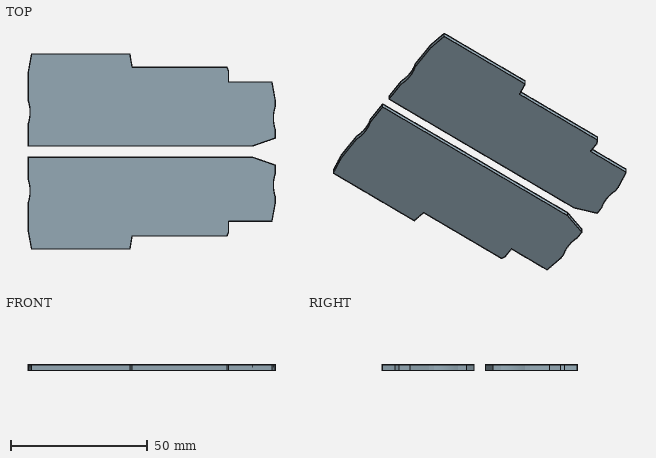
import cadquery as cq

LENGTH = 90.8
TOTAL_WIDTH = 71.6
THICKNESS = 2.2
GAP = 4.1
PLATE_WIDTH = (TOTAL_WIDTH - GAP) / 2

WIDE_END = 37.4
FIRST_STEP_DEPTH = 4.8
FIRST_STEP_RUN = 0.8
MIDDLE_END = 73.6
SECOND_STEP_DEPTH = 5.45
MIDDLE_CHAMFER_RUN = 0.6
MIDDLE_CHAMFER_DROP = 1.45

TAPER_RUN = 1.3
TAPER_DROP = 7.0

NOTCH_WIDTH = 8.9
NOTCH_DEPTH = 0.7
REAR_NOTCH_CENTER = 12.4
TIP_NOTCH_CENTER = 10.3

TIP_CUT_RUN = 8.35
TIP_CUT_RISE = 2.9

MIDDLE_WIDTH = PLATE_WIDTH - FIRST_STEP_DEPTH
TIP_WIDTH = MIDDLE_WIDTH - SECOND_STEP_DEPTH


def plate_blank():
    """Plate with its inner edge on the X axis and its rear end at X = 0."""
    half_notch = NOTCH_WIDTH / 2
    return (
        cq.Workplane("XY")
        .moveTo(0, 0)
        .lineTo(LENGTH - TIP_CUT_RUN, 0)
        .lineTo(LENGTH, TIP_CUT_RISE)
        .lineTo(LENGTH, TIP_NOTCH_CENTER - half_notch)
        .threePointArc(
            (LENGTH - NOTCH_DEPTH, TIP_NOTCH_CENTER),
            (LENGTH, TIP_NOTCH_CENTER + half_notch),
        )
        .lineTo(LENGTH, TIP_WIDTH - TAPER_DROP)
        .lineTo(LENGTH - TAPER_RUN, TIP_WIDTH)
        .lineTo(MIDDLE_END, TIP_WIDTH)
        .lineTo(MIDDLE_END, MIDDLE_WIDTH - MIDDLE_CHAMFER_DROP)
        .lineTo(MIDDLE_END - MIDDLE_CHAMFER_RUN, MIDDLE_WIDTH)
        .lineTo(WIDE_END + FIRST_STEP_RUN, MIDDLE_WIDTH)
        .lineTo(WIDE_END, PLATE_WIDTH)
        .lineTo(TAPER_RUN, PLATE_WIDTH)
        .lineTo(0, PLATE_WIDTH - TAPER_DROP)
        .lineTo(0, REAR_NOTCH_CENTER + half_notch)
        .threePointArc(
            (NOTCH_DEPTH, REAR_NOTCH_CENTER),
            (0, REAR_NOTCH_CENTER - half_notch),
        )
        .close()
        .extrude(THICKNESS)
    )


left_plate = plate_blank().translate((-LENGTH / 2, GAP / 2, 0))
right_plate = left_plate.mirror("XZ")

result = cq.Compound.makeCompound([left_plate.val(), right_plate.val()])